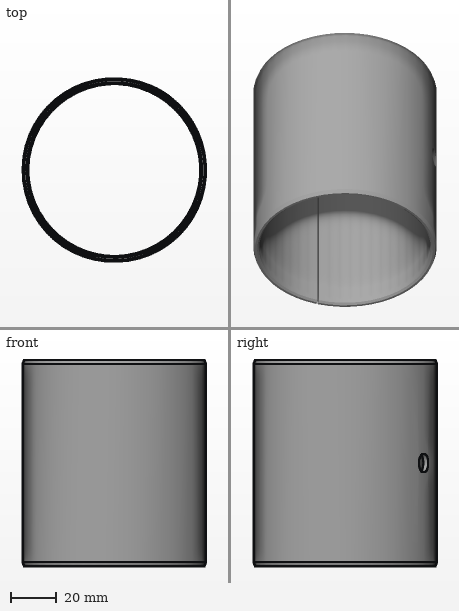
import cadquery as cq
import math

outer_diameter = 80.0
wall_thickness = 2.5
length = 90.0

outer_chamfer_length = 1.8
outer_chamfer_angle = 20.0
inner_chamfer_length = 0.8
inner_chamfer_angle = 45.0

seam_angle = 1.0

oil_hole_diameter = 8.0
oil_hole_angle = 59.0
oil_hole_height = length / 2

outer_radius = outer_diameter / 2
inner_radius = outer_radius - wall_thickness
outer_chamfer_depth = outer_chamfer_length * math.tan(math.radians(outer_chamfer_angle))
inner_chamfer_depth = inner_chamfer_length * math.tan(math.radians(inner_chamfer_angle))


def make_split_sleeve():
    """Tube with chamfered ends, its wall section swept not quite all the way round."""
    end_outer_radius = outer_radius - outer_chamfer_depth
    end_inner_radius = inner_radius + inner_chamfer_depth
    wall_section = [
        (end_inner_radius, 0),
        (end_outer_radius, 0),
        (outer_radius, outer_chamfer_length),
        (outer_radius, length - outer_chamfer_length),
        (end_outer_radius, length),
        (end_inner_radius, length),
        (inner_radius, length - inner_chamfer_length),
        (inner_radius, inner_chamfer_length),
    ]
    sleeve = (
        cq.Workplane("XZ")
        .polyline(wall_section)
        .close()
        .revolve(360 - seam_angle, (0, 0, 0), (0, 1, 0))
    )
    return sleeve.rotate((0, 0, 0), (0, 0, 1), 180)


def make_oil_hole():
    """Radial cylinder that passes through one side of the wall."""
    overlap = wall_thickness
    hole = (
        cq.Workplane("YZ", origin=(inner_radius - overlap, 0, oil_hole_height))
        .circle(oil_hole_diameter / 2)
        .extrude(wall_thickness + 2 * overlap)
    )
    return hole.rotate((0, 0, 0), (0, 0, 1), oil_hole_angle)


result = make_split_sleeve().cut(make_oil_hole())